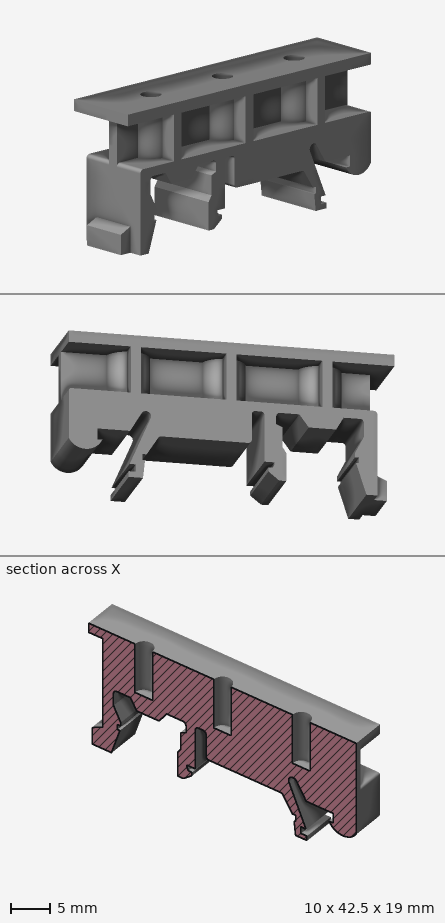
import cadquery as cq

length = 42.5
width = 10.0
height = 19.0

plate_thickness = 1.55
deck_top = 11.3
body_length = 40.3
web_thickness = 1.45
web_offset = -0.1
rib_thickness = 1.3
boss_diameter = 5.85
hole_diameter = 2.7
hole_pitch = 12.5
hole_stations = [length / 2 + step * hole_pitch for step in (-1, 0, 1)]
plate_bottom = height - plate_thickness
web_height = plate_bottom - deck_top

deck_bottom = 10.07
block_bottom = 5.75
deck_front_radius = 0.5
deck_back_radius = 0.35
corner_radius = 0.45

block_end = 23.9
foot_side_bottom = 4.65
foot_bottom = 3.3
foot_center = 2.15
foot_notch_wall = 3.75
foot_lip_end = 4.38
foot_lip_height = 4.7
foot_ceiling = 6.15
arm_tip_left = 7.8
arm_tip_right = 9.7
arm_notch_floor = 0.75
arm_notch_roof = 1.75
arm_notch_wall = 8.75
arm_heel_bottom = 2.3
arm_heel_top = 3.2
arm_heel_wall = 9.65
arm_heel_tip = 9.95
arm_heel_end = 10.15
arm_back_end = 7.95
arm_root = 11.8
slot_mouth = 8.0
slot_arc_start = (9.55, 8.7)
slot_arc_top = (10.33, 8.92)
slot_arc_end = (10.65, 8.05)

hook_back = 25.55
hook_neck_front = 27.07
hook_front = 27.9
hook_nose = 28.4
hook_bottom = 1.0
hook_notch_roof = 3.4
hook_notch_slope_top = 3.2
hook_notch_floor = 2.68
hook_notch_wall = 26.85
hook_notch_floor_end = 26.65
hook_lip_back = 26.05
hook_lip_bottom = 2.12
hook_tip_back = 27.45
hook_nose_top = 4.75
hook_front_bottom = 5.55
hook_front_top = 8.2
hook_neck_bottom = 8.55

stop_bottom = 8.4
stop_top_back = 30.1
stop_top_front = 35.85
stop_bottom_back = 31.32
stop_bottom_front = 34.9

leg_back = 38.5
leg_catch = 37.35
leg_slope_top = 7.7
leg_catch_top = 5.5
leg_notch_wall = 37.85
leg_notch_roof = 4.9
leg_notch_floor = 4.15
leg_lip_back = 37.5
leg_tip_back = 38.85
tab_width = 6.25
tab_reach = 1.65
tab_root_height = 3.45
tab_nose_height = 2.68

side_plane = cq.Plane(origin=(0, length / 2, 0), xDir=(0, -1, 0), normal=(-1, 0, 0))


def side_sketch():
    return cq.Workplane(side_plane)


def side_prism(points, prism_width=width):
    """Extrude a closed side profile symmetrically about the X centre."""
    return side_sketch().polyline(points).close().extrude(prism_width / 2, both=True)


def bar(start, end, bottom, top, bar_width):
    """Box between two stations along the length and two heights."""
    corners = [(start, bottom), (end, bottom), (end, top), (start, top)]
    return side_prism(corners, bar_width)


def round_edge(body, station, level, radius):
    """Round the edge running along X at a station and height."""
    edge_point = (0, length / 2 - station, level)
    return body.edges("|X").edges(cq.NearestToPointSelector(edge_point)).fillet(radius)


def back_block():
    """Block under the deck, with the foot, the slanted slot and the spring arm."""
    outline = (
        side_sketch()
        .moveTo(0, deck_bottom)
        .lineTo(0, foot_side_bottom)
        .threePointArc((foot_center, foot_bottom), (foot_lip_end, foot_lip_height))
        .lineTo(foot_notch_wall, foot_lip_height)
        .lineTo(foot_notch_wall, foot_ceiling)
        .lineTo(slot_mouth, foot_ceiling)
        .lineTo(*slot_arc_start)
        .threePointArc(slot_arc_top, slot_arc_end)
        .lineTo(arm_back_end, arm_notch_roof)
        .lineTo(arm_notch_wall, arm_notch_roof)
        .lineTo(arm_notch_wall, arm_notch_floor)
        .lineTo(arm_tip_left, arm_notch_floor)
        .lineTo(arm_tip_left, 0)
        .lineTo(arm_tip_right, 0)
        .lineTo(arm_heel_tip, arm_heel_bottom)
        .lineTo(arm_heel_wall, arm_heel_bottom)
        .lineTo(arm_heel_wall, arm_heel_top)
        .lineTo(arm_heel_end, arm_heel_top)
        .lineTo(arm_root, block_bottom)
        .lineTo(block_end, block_bottom)
        .lineTo(block_end, deck_bottom)
        .close()
    )
    return outline.extrude(width / 2, both=True)


def middle_hook():
    return side_prism([
        (hook_back, deck_bottom),
        (hook_back, hook_notch_roof),
        (hook_notch_wall, hook_notch_roof),
        (hook_notch_wall, hook_notch_slope_top),
        (hook_notch_floor_end, hook_notch_floor),
        (hook_lip_back, hook_notch_floor),
        (hook_lip_back, hook_lip_bottom),
        (hook_tip_back, hook_bottom),
        (hook_nose, hook_bottom),
        (hook_nose, hook_nose_top),
        (hook_front, hook_front_bottom),
        (hook_front, hook_front_top),
        (hook_neck_front, hook_neck_bottom),
        (hook_neck_front, deck_bottom),
    ])


def deck_stop():
    return side_prism([
        (stop_top_back, deck_bottom),
        (stop_bottom_back, stop_bottom),
        (stop_bottom_front, stop_bottom),
        (stop_top_front, deck_bottom),
    ])


def front_leg():
    return side_prism([
        (leg_back, deck_bottom),
        (leg_back, leg_slope_top),
        (leg_catch, leg_catch_top),
        (leg_catch, leg_notch_roof),
        (leg_notch_wall, leg_notch_roof),
        (leg_notch_wall, leg_notch_floor),
        (leg_lip_back, leg_notch_floor),
        (leg_tip_back, 0),
        (body_length, 0),
        (body_length, deck_bottom),
    ])


def finger_tab():
    tab_end = body_length + tab_reach
    return side_prism([
        (body_length, 0),
        (tab_end, 0),
        (tab_end, tab_nose_height),
        (body_length, tab_root_height),
    ], tab_width)


def upright_cylinders(diameter, bottom, cylinder_height):
    """One vertical cylinder at each screw station."""
    centers = [(0, length / 2 - station) for station in hole_stations]
    plane = cq.Workplane("XY", origin=(0, 0, bottom))
    return plane.pushPoints(centers).circle(diameter / 2).extrude(cylinder_height)


body = bar(0, body_length, deck_bottom, deck_top, width)
for lower_part in (back_block(), middle_hook(), deck_stop(), front_leg()):
    body = body.union(lower_part)
body = body.clean()

for station, level in (
    (arm_root, block_bottom),
    (block_end, block_bottom),
    (block_end, deck_bottom),
    (hook_back, deck_bottom),
    (hook_neck_front, deck_bottom),
    (leg_back, deck_bottom),
):
    body = round_edge(body, station, level, corner_radius)
body = round_edge(body, body_length, deck_top, deck_front_radius)
body = round_edge(body, 0, deck_top, deck_back_radius)

web = bar(0, body_length, deck_bottom, plate_bottom, web_thickness)
web = web.translate((web_offset, 0, 0))
plate = bar(0, length, plate_bottom, height, width)
body = body.union(web).union(plate).union(finger_tab())

for station in hole_stations:
    rib_start = station - rib_thickness / 2
    rib = bar(rib_start, rib_start + rib_thickness, deck_top, plate_bottom, width)
    body = body.union(rib)
body = body.union(upright_cylinders(boss_diameter, deck_top, web_height))

holes = upright_cylinders(hole_diameter, deck_top, height - deck_top)
result = body.cut(holes).clean()